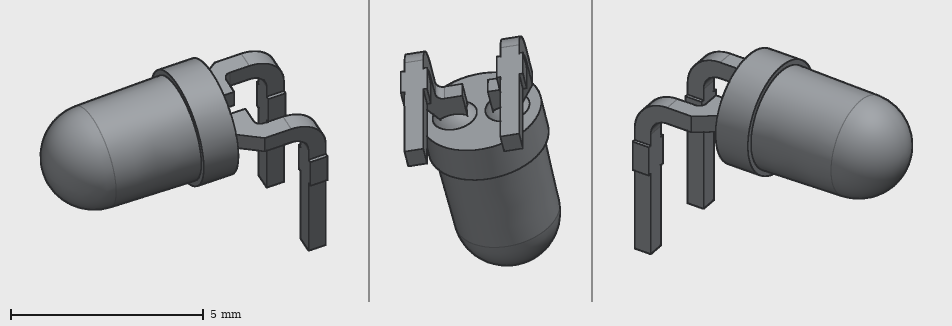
import cadquery as cq
import math


flange_radius = 3.2 / 2
flange_thickness = 1.0
barrel_base_radius = 1.45
dome_base_radius = 1.4
dome_height = 1.37
overall_length = 7.35

bump_sphere_radius = 0.77
bump_base_radius = 0.59
bump_offset = 0.7

lead_pitch = 2.54
lead_thickness = 0.5
bend_outer_radius = 2 * lead_thickness
bend_inner_radius = bend_outer_radius - lead_thickness
lead_reach = 2.55
lead_drop = 4.5
shoulder_width = 3.24 - lead_pitch
shoulder_top = -1.11
shoulder_height = 0.88
jog_back = 0.795
jog_inner_x = 0.34
jog_root_x = 0.97
jog_fillet = 0.2

lead_x = lead_pitch / 2
lead_outer_x = lead_x + lead_thickness / 2
lead_inner_x = lead_x - lead_thickness / 2
lead_top = lead_thickness / 2
dome_tip_y = lead_reach - overall_length
dome_start_y = dome_tip_y + dome_height
dome_sphere_radius = (dome_base_radius**2 + dome_height**2) / (2 * dome_height)
bump_center_y = -math.sqrt(bump_sphere_radius**2 - bump_base_radius**2)


def make_lens():
    """Flange, tapered barrel and spherical dome tangent to it, turned about the Y axis."""
    return (
        cq.Workplane("XY")
        .lineTo(flange_radius, 0)
        .lineTo(flange_radius, -flange_thickness)
        .lineTo(barrel_base_radius, -flange_thickness)
        .lineTo(dome_base_radius, dome_start_y)
        .radiusArc((0, dome_tip_y), dome_sphere_radius)
        .close()
        .revolve(360, (0, 0, 0), (0, 1, 0))
    )


def make_bump(side):
    """Spherical cap standing on the back face of the flange."""
    cap_height = bump_sphere_radius + bump_center_y
    return (
        cq.Workplane("XY")
        .lineTo(bump_base_radius, 0)
        .radiusArc((0, cap_height), -bump_sphere_radius)
        .close()
        .revolve(360, (0, 0, 0), (0, 1, 0))
        .translate((side * bump_offset, 0, 0))
    )


def make_bent_strip():
    """Lead from the end of the jog back through the bend and down to the tip."""
    bend_y = lead_reach - bend_outer_radius
    bend_z = lead_top - bend_outer_radius
    return (
        cq.Workplane("YZ", origin=(lead_inner_x, 0, 0))
        .moveTo(jog_back, lead_top)
        .lineTo(bend_y, lead_top)
        .radiusArc((lead_reach, bend_z), bend_outer_radius)
        .lineTo(lead_reach, -lead_drop)
        .lineTo(lead_reach - lead_thickness, -lead_drop)
        .lineTo(lead_reach - lead_thickness, bend_z)
        .radiusArc((bend_y, -lead_top), -bend_inner_radius)
        .lineTo(jog_back, -lead_top)
        .close()
        .extrude(lead_thickness)
    )


def make_jog():
    """Flat part that steps inward to the flange, with a filleted inner corner."""
    return (
        cq.Workplane("XY", origin=(0, 0, -lead_top))
        .moveTo(jog_root_x, 0)
        .lineTo(lead_outer_x, jog_back)
        .lineTo(lead_outer_x, jog_back + jog_fillet)
        .lineTo(lead_inner_x, jog_back + jog_fillet)
        .radiusArc((lead_inner_x - jog_fillet, jog_back), jog_fillet)
        .lineTo(jog_inner_x, jog_back)
        .lineTo(jog_inner_x, 0)
        .close()
        .extrude(lead_thickness)
    )


def make_shoulder():
    """Wider stop on the vertical leg."""
    return cq.Workplane("XY").box(shoulder_width, lead_thickness, shoulder_height).translate(
        (lead_x, lead_reach - lead_thickness / 2, shoulder_top - shoulder_height / 2)
    )


def make_lead(side):
    """One lead; side is +1 or -1 for the +X or -X lead."""
    lead = make_bent_strip().union(make_jog()).union(make_shoulder()).clean()
    return lead if side > 0 else lead.mirror("YZ")


sides = (-1, 1)
leads = [make_lead(side) for side in sides]

housing = make_lens()
for side, lead in zip(sides, leads):
    housing = housing.union(make_bump(side).cut(lead))

result = cq.Compound.makeCompound([housing.solids().val(), *[lead.solids().val() for lead in leads]])